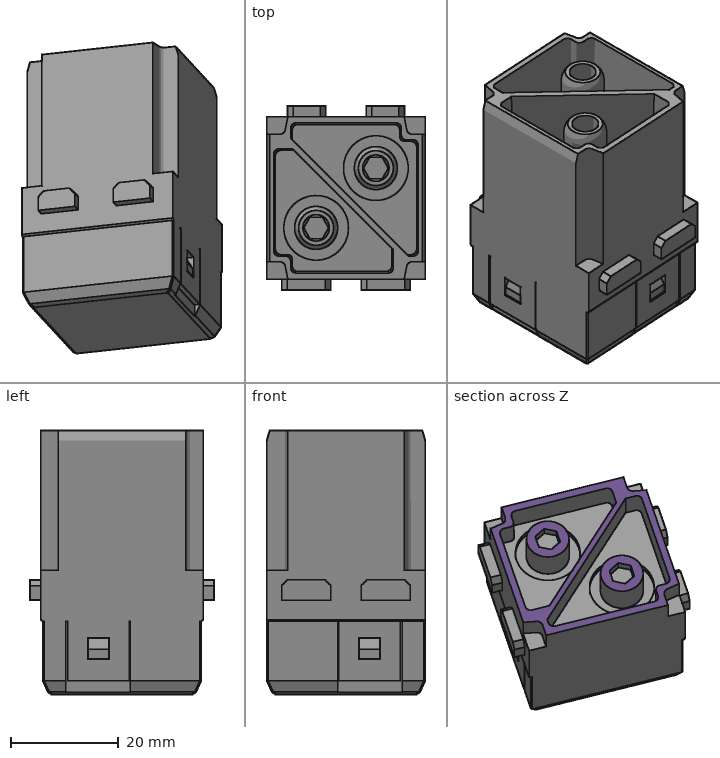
import cadquery as cq
import math

height = 49.0
width_x = 29.4
upper_depth_y = 30.2
overall_depth_y = 34.2
base_side = width_x
base_top = 13.55
base_corner_break = 0.25
ledge_bevel_height = 0.35

skirt_top, skirt_bottom = 2.6, 0.55
skirt_bottom_side = 27.55
foot_side = 26.15

top_bevel_inset, top_bevel_height = 0.55, 1.85

notch_floor = 23.1
notch_mouth_x = 10.8
notch_inner_x = 11.4
notch_back_y = 11.8
notch_fillet = 1.1

chamber_x, chamber_y = 13.4, 13.9
chamber_step_x, chamber_step_y = 10.25, 10.8
chamber_2_right, chamber_2_back = 8.75, 9.1
chamber_floor = 22.05
chamber_draft = 0.3
chamber_fillet = 1.0
divider_offset = 0.85

contact_offset = 5.55
contact_top = 47.9
contact_diameter = 8.0
contact_tip_diameter = 6.45
contact_nose_height = 1.95
bore_diameter = 4.9
bore_depth = 19.6
hex_across_flats = 4.0
hex_depth = 2.95
hex_turn = 30
seat_diameter = 12.0
seat_depth = 1.0

lug_bottom, lug_top = 17.55, 21.25
lug_bevel = 1.1
front_lug_inner_x, front_lug_outer_x = 2.8, 11.95
rear_lug_inner_x, rear_lug_outer_x = 3.7, 10.9

slot_left, slot_right = -1.55, 10.45
slot_depth = 1.1
tongue_left, tongue_right = -1.35, 10.05
window_side = 4.0
window_left = (tongue_left + tongue_right - window_side) / 2
window_bottom = 6.55
window_top = window_bottom + window_side
window_depth = 1.45
catch_clearance = 0.1
catch_face_depth = 0.2
catch_ramp_start = 8.4


def broken_square(side):
    """Corner points of a square whose corners are cut off."""
    outer = side / 2
    inner = outer - base_corner_break
    return [
        (outer, -inner), (outer, inner), (inner, outer), (-inner, outer),
        (-outer, inner), (-outer, -inner), (-inner, -outer), (inner, -outer),
    ]


def square_frustum(lower_side, lower_z, upper_side, upper_z):
    return (
        cq.Workplane("XY", origin=(0, 0, lower_z))
        .polyline(broken_square(lower_side))
        .close()
        .workplane(offset=upper_z - lower_z)
        .polyline(broken_square(upper_side))
        .close()
        .loft(ruled=True)
    )


def housing():
    foot = square_frustum(foot_side, 0, skirt_bottom_side, skirt_bottom)
    skirt = square_frustum(skirt_bottom_side, skirt_bottom, base_side, skirt_top)
    base = square_frustum(base_side, skirt_top, base_side, base_top)

    half_y = upper_depth_y / 2
    upper = (
        cq.Workplane("YZ")
        .moveTo(-base_side / 2, base_top)
        .lineTo(-half_y, base_top + ledge_bevel_height)
        .lineTo(-half_y, height)
        .lineTo(half_y, height)
        .lineTo(half_y, base_top + ledge_bevel_height)
        .lineTo(base_side / 2, base_top)
        .close()
        .extrude(width_x / 2, both=True)
    )
    return foot.union(skirt).union(base).union(upper)


def top_bevels():
    """Wedges along the two X-side top edges."""
    half_x = width_x / 2
    wedge = (
        cq.Workplane("XZ")
        .moveTo(half_x - top_bevel_inset, height)
        .lineTo(half_x, height)
        .lineTo(half_x, height - top_bevel_height)
        .close()
        .extrude(upper_depth_y / 2, both=True)
    )
    return wedge.union(wedge.mirror("YZ"))


def corner_notches():
    half_x, half_y = width_x / 2, upper_depth_y / 2
    notch = (
        cq.Workplane("XY", origin=(0, 0, notch_floor))
        .moveTo(notch_mouth_x, half_y)
        .lineTo(notch_inner_x, notch_back_y)
        .lineTo(half_x, notch_back_y)
        .lineTo(half_x, half_y)
        .close()
        .extrude(height - notch_floor)
        .edges("|Z")
        .edges(cq.selectors.NearestToPointSelector((notch_inner_x, notch_back_y, height)))
        .fillet(notch_fillet)
    )
    pair = notch.union(notch.mirror("YZ"))
    return pair.union(pair.mirror("XZ"))


def drafted_chamber(outline):
    """Pocket narrowing downward from the rim outline, with rounded corners."""
    rim = cq.Workplane("XY", origin=(0, 0, height)).polyline(outline).close()
    floor = (
        cq.Workplane("XY", origin=(0, 0, chamber_floor))
        .polyline(outline)
        .close()
        .offset2D(-chamber_draft, "intersection")
    )
    pocket = cq.Solid.makeLoft([floor.val(), rim.val()], True)
    return cq.Workplane(pocket).edges("not(#Z)").fillet(chamber_fillet)


def half_space(side):
    """Large prism on the +1 or -1 side of the divider."""
    reach = side * 2 * overall_depth_y
    offset = side * divider_offset
    return (
        cq.Workplane("XY")
        .polyline([(offset - reach, reach), (offset + reach, -reach), (reach, reach)])
        .close()
        .extrude(height)
    )


def chambers():
    outline_1 = [
        (-chamber_step_x, chamber_y),
        (chamber_step_x, chamber_y),
        (chamber_step_x, chamber_step_y),
        (chamber_x, chamber_step_y),
        (chamber_x, -chamber_step_y),
        (-chamber_step_x, -chamber_step_y),
    ]
    outline_2 = [
        (-chamber_x, chamber_2_back),
        (-chamber_x, -chamber_step_y),
        (-chamber_step_x, -chamber_step_y),
        (-chamber_step_x, -chamber_y),
        (chamber_2_right, -chamber_y),
        (chamber_2_right, chamber_2_back),
    ]
    first = drafted_chamber(outline_1).intersect(half_space(1))
    second = drafted_chamber(outline_2).intersect(half_space(-1))
    return first.union(second)


def contact_seat():
    return (
        cq.Workplane("XY", origin=(0, 0, chamber_floor - seat_depth))
        .circle(seat_diameter / 2)
        .extrude(seat_depth)
    )


def contact():
    """Round-nosed socket with a bore that ends in a hexagon recess."""
    radius = contact_diameter / 2
    tip_radius = contact_tip_diameter / 2
    root = chamber_floor - seat_depth
    shoulder = contact_top - contact_nose_height
    body = (
        cq.Workplane("XZ")
        .moveTo(0, root)
        .lineTo(radius, root)
        .lineTo(radius, shoulder)
        .tangentArcPoint((tip_radius, contact_top), relative=False)
        .lineTo(0, contact_top)
        .close()
        .revolve(360, (0, 0, 0), (0, 1, 0))
    )
    bore = (
        cq.Workplane("XY", origin=(0, 0, contact_top))
        .circle(bore_diameter / 2)
        .extrude(-bore_depth)
    )
    hexagon = (
        cq.Workplane("XY", origin=(0, 0, contact_top - bore_depth))
        .polygon(6, hex_across_flats, circumscribed=True)
        .extrude(-hex_depth)
        .rotate((0, 0, 0), (0, 0, 1), hex_turn)
    )
    return body.cut(bore).cut(hexagon)


def lug(inner_x, outer_x):
    """Bar on the +Y face with bevelled upper corners."""
    wall_y = upper_depth_y / 2
    return (
        cq.Workplane("XY", origin=(inner_x, wall_y, lug_bottom))
        .box(outer_x - inner_x, overall_depth_y / 2 - wall_y, lug_top - lug_bottom, centered=False)
        .edges("|Y and >Z")
        .chamfer(lug_bevel)
    )


def lugs():
    rear = lug(rear_lug_inner_x, rear_lug_outer_x)
    front = lug(front_lug_inner_x, front_lug_outer_x).mirror("XZ")
    one_side = rear.union(front)
    return one_side.union(one_side.mirror("YZ"))


def front_block(left, right, bottom, top, depth):
    """Box that reaches inward from the -Y face of the lower housing."""
    return (
        cq.Workplane("XY", origin=(left, -base_side / 2, bottom))
        .box(right - left, depth, top - bottom, centered=False)
    )


def latch_slot():
    return front_block(slot_left, slot_right, 0, base_top, slot_depth)


def latch_tongue():
    return front_block(tongue_left, tongue_right, skirt_top, base_top, slot_depth)


def latch_window():
    window_right = window_left + window_side
    return front_block(window_left, window_right, window_bottom, window_top, window_depth)


def latch_catch():
    """Catch inside the window: upright lower face and a ramp that recedes upward."""
    floor_y = window_depth - base_side / 2
    face_y = catch_face_depth - base_side / 2
    catch_bottom = window_bottom + catch_clearance
    catch_top = window_top - catch_clearance
    return (
        cq.Workplane("YZ", origin=(window_left + catch_clearance, 0, 0))
        .moveTo(floor_y, catch_bottom)
        .lineTo(face_y, catch_bottom)
        .lineTo(face_y, catch_ramp_start)
        .lineTo(floor_y, catch_top)
        .close()
        .extrude(window_side - 2 * catch_clearance)
    )


def swap_x_and_y(shape):
    """Mirror image that carries the -Y face onto the -X face."""
    return shape.mirror("YZ").rotate((0, 0, 0), (0, 0, 1), -90)


body = housing().cut(top_bevels()).cut(corner_notches()).cut(chambers())
body = body.union(lugs())

for cutter in (latch_slot(), latch_window()):
    body = body.cut(cutter).cut(swap_x_and_y(cutter))
latch = latch_tongue().cut(latch_window()).union(latch_catch())
body = body.union(latch).union(swap_x_and_y(latch))

socket, seat = contact(), contact_seat()
for offset in (contact_offset, -contact_offset):
    position = (offset, offset, 0)
    body = body.cut(seat.translate(position)).union(socket.translate(position))

result = body